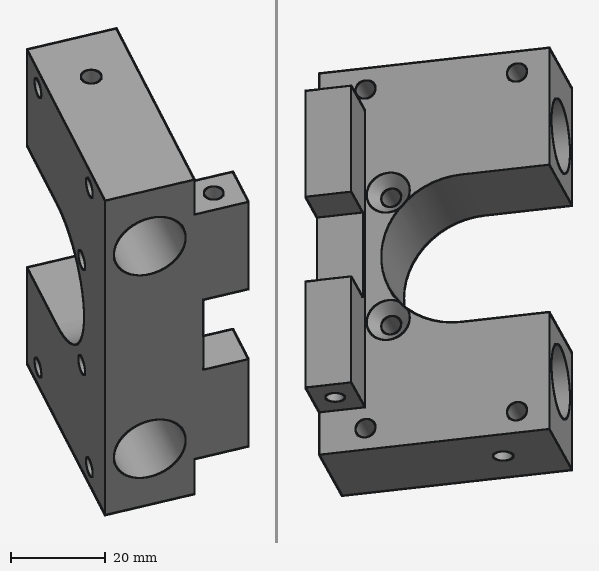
import cadquery as cq
import math

length = 50.0
thickness = 20.0
height = 90.0

opening_radius = 17.4
opening_centre_x = 19.2

rail_width = 10.0
rail_depth = 12.1
rail_height = 70.0
notch_height = 20.0
notch_floor = 2.0

bore_diameter = 16.0
bore_z = 29.0

screw_diameter = 4.3
corner_hole_xs = (7.0, 40.0)
corner_hole_z = height / 2 - 5.0
inner_hole_x = 35.0
inner_hole_z = 15.0
countersink_diameter = 9.4
set_screw_diameter = 4.3
set_screw_x = 12.5
rail_hole_diameter = 4.1
rail_hole_depth = 15.0
drill_point_angle = 118.0
rail_hole_y = thickness + rail_depth / 2


def box(x, y, z, corner_x, corner_y):
    """Box with its low X and Y corner given, centred on Z."""
    return cq.Workplane("XY").box(x, y, z, centered=(False, False, True)).translate((corner_x, corner_y, 0))


def cylinder(diameter, depth, start, direction):
    """Cylinder grown from a start point along a direction."""
    return cq.Workplane(cq.Solid.makeCylinder(diameter / 2, depth, cq.Vector(*start), cq.Vector(*direction)))


def make_body():
    plate = box(length, thickness, height, 0, 0)
    rail_x = length - rail_width
    rail = box(rail_width, rail_depth, rail_height, rail_x, thickness)
    notch = box(rail_width, rail_depth - notch_floor, notch_height, rail_x, thickness + notch_floor)
    return plate.union(rail.cut(notch))


def make_opening():
    """Slot open at the arm ends, closed by a tangent half circle."""
    return (
        cq.Workplane("XZ")
        .moveTo(0, -opening_radius)
        .lineTo(opening_centre_x, -opening_radius)
        .threePointArc((opening_centre_x + opening_radius, 0), (opening_centre_x, opening_radius))
        .lineTo(0, opening_radius)
        .close()
        .extrude(-thickness)
    )


def make_inner_hole(side):
    """Through hole with a 90 degree countersink on the rear face that just breaks into the opening."""
    z = side * inner_hole_z
    sink_radius = countersink_diameter / 2
    shaft = cylinder(screw_diameter, thickness, (inner_hole_x, 0, z), (0, 1, 0))
    sink = cq.Solid.makeCone(
        sink_radius, 0, sink_radius, cq.Vector(inner_hole_x, thickness, z), cq.Vector(0, -1, 0)
    )
    return shaft.union(cq.Workplane(sink))


def make_rail_hole(side):
    """Blind drilled hole from the end of the rail, with a conical bottom."""
    x = length - rail_width / 2
    end_z = side * rail_height / 2
    bottom_z = end_z - side * rail_hole_depth
    radius = rail_hole_diameter / 2
    point_depth = radius / math.tan(math.radians(drill_point_angle / 2))
    inward = (0, 0, -side)
    shaft = cylinder(rail_hole_diameter, rail_hole_depth, (x, rail_hole_y, end_z), inward)
    point = cq.Solid.makeCone(radius, 0, point_depth, cq.Vector(x, rail_hole_y, bottom_z), cq.Vector(*inward))
    return shaft.union(cq.Workplane(point))


def make_set_screw_hole(side):
    """Hole from the outer Z face into the bore next to it."""
    start = (set_screw_x, thickness / 2, side * height / 2)
    return cylinder(set_screw_diameter, height / 2 - bore_z, start, (0, 0, -side))


result = make_body().cut(make_opening())

for side in (-1, 1):
    result = result.cut(cylinder(bore_diameter, length, (0, thickness / 2, side * bore_z), (1, 0, 0)))
    for x in corner_hole_xs:
        result = result.cut(cylinder(screw_diameter, thickness, (x, 0, side * corner_hole_z), (0, 1, 0)))
    result = result.cut(make_inner_hole(side))
    result = result.cut(make_set_screw_hole(side))
    result = result.cut(make_rail_hole(side))